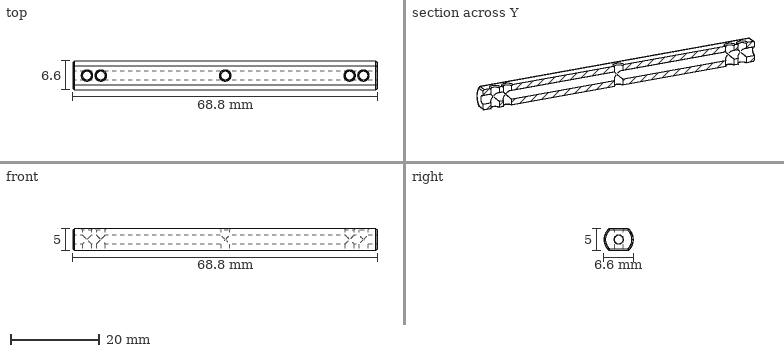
import cadquery as cq

LENGTH = 68.75
ROUND_DIAMETER = 6.6
HEIGHT_OVER_FLATS = 5.0
END_CHAMFER = 0.35
BORE_DIAMETER = 2.0
CROSS_HOLE_DIAMETER = 2.0
COUNTERSINK_DIAMETER = 2.6
COUNTERSINK_ANGLE = 90.0
HOLE_PITCH = 3.125
OUTER_HOLE_X = 31.25

INNER_HOLE_X = OUTER_HOLE_X - HOLE_PITCH
CROSS_HOLE_X = [-OUTER_HOLE_X, -INNER_HOLE_X, 0, INNER_HOLE_X, OUTER_HOLE_X]


def flatted_bar():
    """Round bar along X with flats on top and bottom and chamfered ends."""
    bar = cq.Workplane("YZ").circle(ROUND_DIAMETER / 2).extrude(LENGTH / 2, both=True)
    slab = cq.Workplane("XY").box(LENGTH, ROUND_DIAMETER, HEIGHT_OVER_FLATS)
    return bar.intersect(slab).faces("<X or >X").chamfer(END_CHAMFER)


def drill_axial_bore(body):
    """Bore running the full length on the bar axis."""
    bore = cq.Workplane("YZ").circle(BORE_DIAMETER / 2).extrude(LENGTH / 2, both=True)
    return body.cut(bore)


def drill_cross_holes(body):
    """Through holes countersunk from the top flat."""
    return (
        body.faces(">Z")
        .workplane(origin=(0, 0, HEIGHT_OVER_FLATS / 2))
        .pushPoints([(x, 0) for x in CROSS_HOLE_X])
        .cskHole(CROSS_HOLE_DIAMETER, COUNTERSINK_DIAMETER, COUNTERSINK_ANGLE)
    )


result = drill_cross_holes(drill_axial_bore(flatted_bar()))